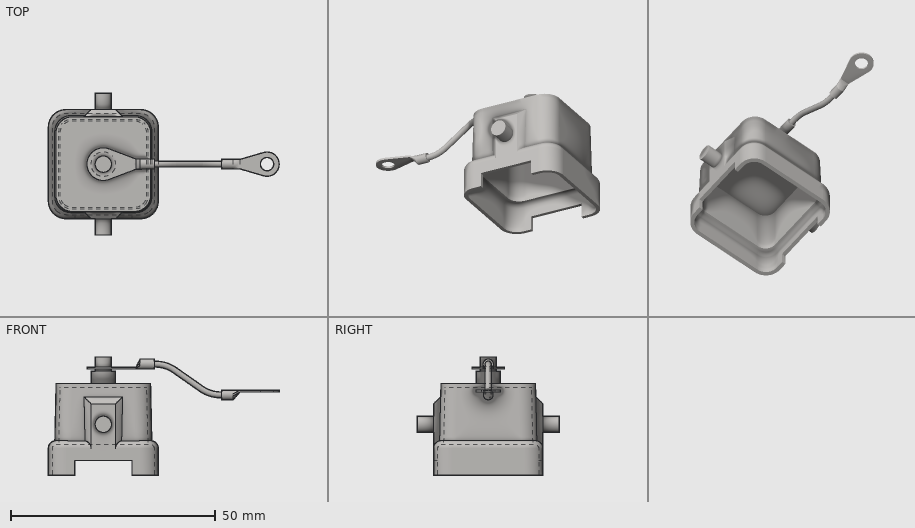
import cadquery as cq
import math


SKIRT_LENGTH = 27.0
SKIRT_WIDTH = 26.8
SKIRT_CORNER_RADIUS = 4.4
SKIRT_TOP_Z = 8.5
SHOULDER_RADIUS = 1.9
WALL = 1.0

CROWN_FOOT_WIDTH = 23.9
CROWN_TOP_WIDTH = 23.2
CROWN_CORNER_RADIUS = 4.0
CROWN_TOP_Z = 22.5

NOTCH_WIDTH = 14.0
NOTCH_HEIGHT = 3.6

PAD_WIDTH = 6.0
PAD_TOP_Z = 17.5
PAD_DEPTH = 2.3
PIN_DIAMETER = 4.0
PIN_LENGTH = 4.0
PIN_Z = 12.5

STEM_DIAMETER = 6.0
STEM_HEIGHT = 3.0
STUD_DIAMETER = 4.0
STUD_TOP_Z = 29.0

LUG_THICKNESS = 0.5
INNER_LUG_RADIUS = 4.0
INNER_LUG_BOTTOM_Z = 26.0
INNER_NECK_X = 8.0
INNER_FERRULE_START_X = 9.0
INNER_FERRULE_END_X = 12.5
INNER_FERRULE_DIAMETER = 2.5

OUTER_EYE_X = 40.1
OUTER_EYE_RADIUS = 3.0
OUTER_EYE_HOLE = 3.2
OUTER_LUG_TOP_Z = 20.9
OUTER_NECK_X = 33.5
OUTER_FERRULE_START_X = 29.0
OUTER_FERRULE_END_X = 31.8
OUTER_FERRULE_DIAMETER = 2.4

CABLE_DIAMETER = 1.5
CABLE_SLOPE = math.radians(35)
CABLE_STRAIGHT_END = 0.27

INNER_FERRULE_Z = INNER_LUG_BOTTOM_Z + INNER_FERRULE_DIAMETER / 2
OUTER_FERRULE_Z = OUTER_LUG_TOP_Z - OUTER_FERRULE_DIAMETER / 2


def rounded_rectangle(length, width, radius):
    """Sketch of a centred rectangle with rounded corners."""
    return cq.Sketch().rect(length, width).vertices().fillet(radius)


def skirt(inset):
    """Skirt block with a rounded shoulder, moved inwards by inset on the sides and top."""
    outline = rounded_rectangle(
        SKIRT_LENGTH - 2 * inset, SKIRT_WIDTH - 2 * inset, SKIRT_CORNER_RADIUS - inset
    )
    return (
        cq.Workplane("XY")
        .placeSketch(outline)
        .extrude(SKIRT_TOP_Z - inset)
        .faces(">Z")
        .edges()
        .fillet(SHOULDER_RADIUS - inset)
    )


def crown(inset):
    """Tapered crown with constant corner radius, moved inwards by inset on the sides and top."""
    radius = CROWN_CORNER_RADIUS - inset
    foot_width = CROWN_FOOT_WIDTH - 2 * inset
    top_width = CROWN_TOP_WIDTH - 2 * inset
    foot = rounded_rectangle(foot_width, foot_width, radius)
    top = rounded_rectangle(top_width, top_width, radius)
    foot_z = SKIRT_TOP_Z - SHOULDER_RADIUS
    height = CROWN_TOP_Z - inset - foot_z
    return (
        cq.Workplane("XY", origin=(0, 0, foot_z))
        .placeSketch(foot, top.moved(cq.Location(cq.Vector(0, 0, height))))
        .loft()
    )


def pad_with_pin():
    """Pad with 45 degree bevels on the front face, carrying a locking pin."""
    face_y = -SKIRT_WIDTH / 2
    pad_bottom_z = NOTCH_HEIGHT + PAD_DEPTH
    pad_height = PAD_TOP_Z - pad_bottom_z
    back = (PAD_WIDTH + 2 * PAD_DEPTH, pad_height + 2 * PAD_DEPTH)
    pad = (
        cq.Workplane("XZ", origin=(0, face_y, pad_bottom_z + pad_height / 2))
        .rect(PAD_WIDTH, pad_height)
        .workplane(offset=-PAD_DEPTH)
        .rect(*back)
        .loft()
    )
    pin = (
        cq.Workplane("XZ", origin=(0, face_y + PAD_DEPTH, PIN_Z))
        .circle(PIN_DIAMETER / 2)
        .extrude(PAD_DEPTH + PIN_LENGTH)
    )
    return pad.union(pin)


def cap():
    """Hollow cap with notches, pads, pins and stem."""
    front = pad_with_pin()
    back = front.mirror("XZ")
    body = skirt(0).union(crown(0)).union(front).union(back)
    body = body.cut(skirt(WALL)).cut(crown(WALL))
    notch = cq.Workplane("XY").box(
        NOTCH_WIDTH, 2 * SKIRT_WIDTH, NOTCH_HEIGHT, centered=(True, True, False)
    )
    stem = (
        cq.Workplane("XY", origin=(0, 0, CROWN_TOP_Z))
        .circle(STEM_DIAMETER / 2)
        .extrude(STEM_HEIGHT)
        .faces(">Z")
        .workplane()
        .circle(STUD_DIAMETER / 2)
        .extrude(STUD_TOP_Z - CROWN_TOP_Z - STEM_HEIGHT)
    )
    return body.cut(notch).union(stem)


def lug(eye_x, eye_radius, neck_x, neck_width, bottom_z):
    """Flat teardrop plate: a round eye with tangent sides running to a straight neck."""
    side = math.copysign(1, neck_x - eye_x)
    run = abs(neck_x - eye_x)
    reach = math.hypot(run, neck_width / 2)
    angle = math.atan2(neck_width / 2, run) + math.acos(eye_radius / reach)
    tangent_x = eye_x + side * eye_radius * math.cos(angle)
    tangent_y = eye_radius * math.sin(angle)
    return (
        cq.Workplane("XY", origin=(0, 0, bottom_z))
        .moveTo(neck_x, neck_width / 2)
        .lineTo(tangent_x, tangent_y)
        .threePointArc((eye_x - side * eye_radius, 0), (tangent_x, -tangent_y))
        .lineTo(neck_x, -neck_width / 2)
        .close()
        .extrude(LUG_THICKNESS)
    )


def ferrule(start_x, end_x, z, diameter):
    """Round crimp sleeve along X."""
    return (
        cq.Workplane("YZ", origin=(start_x, 0, z))
        .circle(diameter / 2)
        .extrude(end_x - start_x)
    )


def neck(neck_x, lug_bottom_z, ferrule_x, ferrule_z, diameter):
    """Transition from the flat neck of a lug to the round end of its ferrule."""
    lug_middle_z = lug_bottom_z + LUG_THICKNESS / 2
    return (
        cq.Workplane("YZ", origin=(neck_x, 0, lug_middle_z))
        .rect(diameter, LUG_THICKNESS)
        .workplane(offset=ferrule_x - neck_x)
        .center(0, ferrule_z - lug_middle_z)
        .circle(diameter / 2)
        .loft(ruled=True)
    )


def cable():
    """S-shaped cable: two equal bends joined by a straight sloping run."""
    start_x = INNER_FERRULE_END_X + CABLE_STRAIGHT_END
    end_x = OUTER_FERRULE_START_X - CABLE_STRAIGHT_END
    run = end_x - start_x
    drop = INNER_FERRULE_Z - OUTER_FERRULE_Z
    sine = math.sin(CABLE_SLOPE)
    cosine = math.cos(CABLE_SLOPE)
    radius = (run * sine - drop * cosine) / (2 * (1 - cosine))
    bend_run = radius * sine
    bend_drop = radius * (1 - cosine)
    half_run = radius * math.sin(CABLE_SLOPE / 2)
    half_drop = radius * (1 - math.cos(CABLE_SLOPE / 2))
    path = (
        cq.Workplane("XZ")
        .moveTo(INNER_FERRULE_END_X, INNER_FERRULE_Z)
        .lineTo(start_x, INNER_FERRULE_Z)
        .threePointArc(
            (start_x + half_run, INNER_FERRULE_Z - half_drop),
            (start_x + bend_run, INNER_FERRULE_Z - bend_drop),
        )
        .lineTo(end_x - bend_run, OUTER_FERRULE_Z + bend_drop)
        .threePointArc(
            (end_x - half_run, OUTER_FERRULE_Z + half_drop),
            (end_x, OUTER_FERRULE_Z),
        )
        .lineTo(OUTER_FERRULE_START_X, OUTER_FERRULE_Z)
    )
    return (
        cq.Workplane("YZ", origin=(INNER_FERRULE_END_X, 0, INNER_FERRULE_Z))
        .circle(CABLE_DIAMETER / 2)
        .sweep(path)
    )


def tether():
    """Inner lug, cable and outer eyelet with their ferrules."""
    outer_lug_bottom_z = OUTER_LUG_TOP_Z - LUG_THICKNESS
    inner_lug = lug(0, INNER_LUG_RADIUS, INNER_NECK_X, INNER_FERRULE_DIAMETER, INNER_LUG_BOTTOM_Z)
    outer_lug = lug(
        OUTER_EYE_X, OUTER_EYE_RADIUS, OUTER_NECK_X, OUTER_FERRULE_DIAMETER, outer_lug_bottom_z
    )
    eye_hole = (
        cq.Workplane("XY", origin=(OUTER_EYE_X, 0, outer_lug_bottom_z))
        .circle(OUTER_EYE_HOLE / 2)
        .extrude(LUG_THICKNESS)
    )
    inner_ferrule = ferrule(
        INNER_FERRULE_START_X, INNER_FERRULE_END_X, INNER_FERRULE_Z, INNER_FERRULE_DIAMETER
    )
    outer_ferrule = ferrule(
        OUTER_FERRULE_START_X, OUTER_FERRULE_END_X, OUTER_FERRULE_Z, OUTER_FERRULE_DIAMETER
    )
    inner_neck = neck(
        INNER_NECK_X,
        INNER_LUG_BOTTOM_Z,
        INNER_FERRULE_START_X,
        INNER_FERRULE_Z,
        INNER_FERRULE_DIAMETER,
    )
    outer_neck = neck(
        OUTER_NECK_X,
        outer_lug_bottom_z,
        OUTER_FERRULE_END_X,
        OUTER_FERRULE_Z,
        OUTER_FERRULE_DIAMETER,
    )
    inner_end = inner_lug.union(inner_neck).union(inner_ferrule)
    outer_end = outer_lug.cut(eye_hole).union(outer_neck).union(outer_ferrule)
    return inner_end.union(cable()).union(outer_end)


result = cap().union(tether())